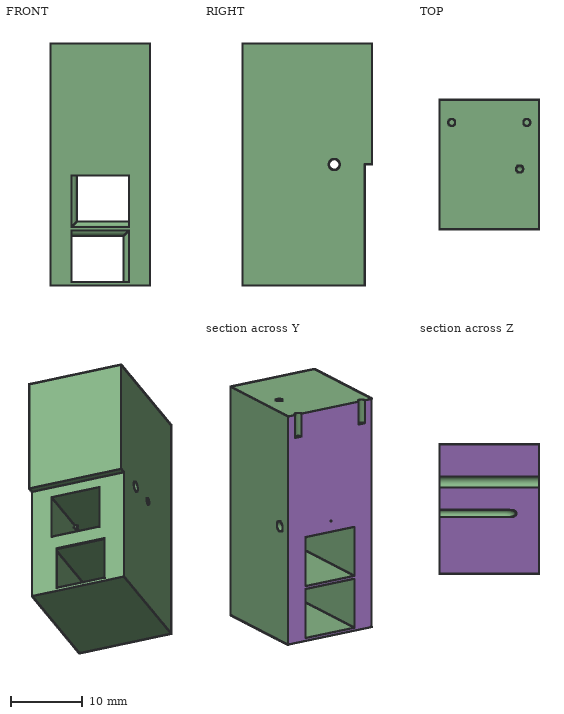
import cadquery as cq

WIDTH = 14.0
DEPTH = 18.2
HEIGHT = 34
MID_HEIGHT = HEIGHT / 2
RIGHT = WIDTH / 2
STEP_DEPTH = 1.02
LOWER_BACK = DEPTH - STEP_DEPTH

DUCT_WIDTH = 8.05
DUCT_HEIGHT = 7.2
DUCT_WALL = 0.5
LOWER_DUCT_Z = DUCT_WALL
UPPER_DUCT_Z = LOWER_DUCT_Z + DUCT_HEIGHT + DUCT_WALL
LIP_RADIUS = 0.78

PIN_DIAMETER = 1.0
PIN_DEPTH = 3.4
PIN_X = RIGHT - 1.75
PIN_Y = DEPTH - 3.2
CROSS_DIAMETER = 1.5
CROSS_Y = DEPTH - 5.3

PORT_DIAMETER = 1.0
PORT_X = RIGHT - 2.72
PORT_Y = DEPTH - 9.72
PORT_BEND_RADIUS = 2.0
PORT_BEND_START = PORT_X - PORT_BEND_RADIUS


def stepped_block():
    side_outline = [
        (0, 0),
        (LOWER_BACK, 0),
        (LOWER_BACK, MID_HEIGHT),
        (DEPTH, MID_HEIGHT),
        (DEPTH, HEIGHT),
        (0, HEIGHT),
    ]
    return cq.Workplane("YZ").polyline(side_outline).close().extrude(RIGHT, both=True)


def duct(bottom_z):
    """Straight rectangular passage from the front to the lower back face."""
    box = cq.Workplane("XY").box(DUCT_WIDTH, LOWER_BACK, DUCT_HEIGHT, centered=(True, False, False))
    return box.translate((0, 0, bottom_z))


def lip_outline(plane):
    """Quarter-round at the back of a duct, standing on a wall at the plane's local x = 0."""
    return (
        plane.moveTo(0, LOWER_BACK - LIP_RADIUS)
        .radiusArc((LIP_RADIUS, LOWER_BACK), -LIP_RADIUS)
        .lineTo(0, LOWER_BACK)
        .close()
    )


def duct_lips():
    """Lips on the left wall and floor of a duct whose lower left corner is at the origin."""
    left = lip_outline(cq.Workplane("XY")).extrude(DUCT_HEIGHT)
    floor = lip_outline(cq.Workplane("ZY")).extrude(-DUCT_WIDTH)
    return left.union(floor)


def port_bend():
    """Branching bend: an elbow turning up, cut at mid height, and its mirror image turning down."""
    path = (
        cq.Workplane("XZ", origin=(0, PORT_Y, 0))
        .moveTo(PORT_BEND_START, MID_HEIGHT)
        .radiusArc((PORT_X, MID_HEIGHT + PORT_BEND_RADIUS), -PORT_BEND_RADIUS)
    )
    start = cq.Workplane("YZ", origin=(PORT_BEND_START, PORT_Y, MID_HEIGHT))
    elbow = start.circle(PORT_DIAMETER / 2).sweep(path)
    upper_half = cq.Workplane("XY", origin=(0, 0, MID_HEIGHT)).rect(WIDTH, 2 * DEPTH).extrude(HEIGHT)
    upper_elbow = elbow.intersect(upper_half)
    return upper_elbow.union(upper_elbow.mirror("XY", (0, 0, MID_HEIGHT)))


def port():
    """Horizontal inlet, branching bend into the upper duct, and riser to the top."""
    inlet = cq.Workplane("YZ", origin=(-RIGHT, PORT_Y, MID_HEIGHT)).circle(PORT_DIAMETER / 2)
    inlet = inlet.extrude(PORT_BEND_START + RIGHT)
    bend_top = MID_HEIGHT + PORT_BEND_RADIUS
    riser = cq.Workplane("XY", origin=(PORT_X, PORT_Y, bend_top)).circle(PORT_DIAMETER / 2)
    riser = riser.extrude(HEIGHT - bend_top)
    return port_bend().union(inlet).union(riser)


result = stepped_block()
for duct_z in (LOWER_DUCT_Z, UPPER_DUCT_Z):
    result = result.cut(duct(duct_z))

result = result.cut(port())

lips = duct_lips().translate((-DUCT_WIDTH / 2, 0, UPPER_DUCT_Z))
opposite_lips = (
    duct_lips()
    .rotate((0, 0, 0), (0, 1, 0), 180)
    .translate((DUCT_WIDTH / 2, 0, LOWER_DUCT_Z + DUCT_HEIGHT))
)
result = result.union(lips).union(opposite_lips)

pin_points = [(side * PIN_X, PIN_Y) for side in (-1, 1)]
pins = (
    cq.Workplane("XY", origin=(0, 0, HEIGHT - PIN_DEPTH))
    .pushPoints(pin_points)
    .circle(PIN_DIAMETER / 2)
    .extrude(PIN_DEPTH)
)
result = result.cut(pins)

cross_hole = (
    cq.Workplane("YZ")
    .center(CROSS_Y, MID_HEIGHT)
    .circle(CROSS_DIAMETER / 2)
    .extrude(RIGHT, both=True)
)
result = result.cut(cross_hole)